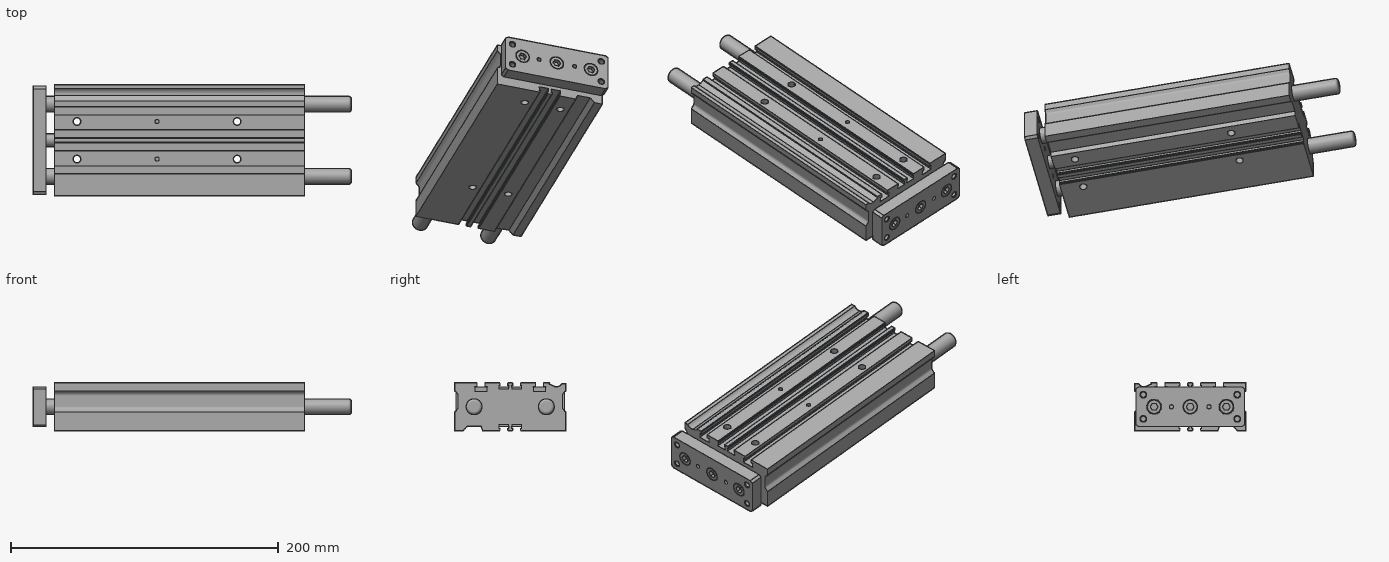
import cadquery as cq
import math


total_length = 238.0
plate_thickness = 9.8
housing_start = 16.0
housing_length = 187.0
rod_spacing = 54.0
rod_ys = (-rod_spacing / 2, rod_spacing / 2)

housing_width = 83.0
housing_height = 36.0
half_width = housing_width / 2
half_height = housing_height / 2
far_corner_drop = 0.7

outer_mouth_inner, outer_mouth_outer = 19.0, 24.8
outer_undercut = 1.7
outer_lip = 2.9
outer_slot_depth = 6.5
middle_mouth_inner, middle_mouth_outer = 2.0, 7.5
middle_undercut = 0.7
middle_lip = 2.0
middle_slot_depth = 4.8
lip_bevel_size = 0.5

side_groove_depth = 2.5
side_groove_top = 12.0
side_groove_bottom = -3.8
side_groove_fillet = 2.9

top_groove_outer = 38.5
top_groove_floor_outer = 35.0
top_groove_floor_inner = 33.5
top_groove_inner = 29.3
top_groove_depth = 2.9
top_groove_step = 1.0
top_groove_arc_bulge = 0.5

bottom_groove_outer = 35.2
bottom_groove_floor_outer = 32.0
bottom_groove_floor_inner = 22.0
bottom_groove_inner = 20.7
bottom_groove_depth = 3.5

mount_hole_diameter = 5.5
mount_hole_xs = (32.8, 152.5)
mount_hole_y = 14.0
pin_hole_diameter = 3.0
pin_hole_depth = 6.0

plate_width = 81.2
plate_height = 29.8
plate_chamfer_y = 2.1
plate_chamfer_z = 1.5
corner_hole_pitch_y = 70.2
corner_hole_pitch_z = 18.0
corner_hole_diameter = 4.0
corner_countersink_diameter = 5.0

guide_diameter = 12.0
guide_tip_fillet = 2.1
piston_rod_diameter = 10.0
piston_rod_end = 178.5
head_diameter = 10.0
head_clearance_diameter = 10.7
bolt_head_height = 6.0
bolt_shank_diameter = 6.0
bolt_length = 23.8
socket_flats = 5.0
socket_depth = 3.0


def x_cylinder(diameter, start, end, y=0.0):
    """Round bar parallel to X, from start to end."""
    return cq.Workplane("YZ", origin=(start, y, 0)).circle(diameter / 2).extrude(end - start)


def hex_socket(y=0.0):
    """Hexagonal recess tool opening at the plate face, flats facing up and down."""
    across_corners = socket_flats / math.cos(math.pi / 6)
    return cq.Workplane("YZ", origin=(0, y, 0)).polygon(6, across_corners).extrude(socket_depth)


def along_housing(section):
    """Extrude a closed section over the housing length."""
    return section.extrude(housing_length)


def section_plane():
    """Workplane for housing sections: local axes are Y and Z."""
    return cq.Workplane("YZ", origin=(housing_start, 0, 0))


def bar_section(y_low, y_high, z_low, z_high):
    """Rectangular bar running the length of the housing."""
    centre = section_plane().moveTo((y_low + y_high) / 2, (z_low + z_high) / 2)
    return along_housing(centre.rect(y_high - y_low, z_high - z_low))


def t_slot(mouth_low, mouth_high, undercut, lip, depth):
    """T-slot cut from the top face: a mouth with an undercut below its lips."""
    mouth = bar_section(mouth_low, mouth_high, half_height - depth, half_height)
    chamber = bar_section(
        mouth_low - undercut, mouth_high + undercut,
        half_height - depth, half_height - lip,
    )
    return mouth.union(chamber)


def lip_bevel(mouth_edge, outward):
    """45-degree bevel on a lip's top edge; outward is +1 or -1, the side the lip lies on."""
    section = section_plane().polyline([
        (mouth_edge, half_height),
        (mouth_edge + outward * lip_bevel_size, half_height),
        (mouth_edge, half_height - lip_bevel_size),
    ]).close()
    return along_housing(section)


def middle_slots():
    """The pair of T-slots on either side of the central rib."""
    slot = t_slot(middle_mouth_inner, middle_mouth_outer, middle_undercut, middle_lip, middle_slot_depth)
    slot = slot.union(lip_bevel(middle_mouth_inner, -1)).union(lip_bevel(middle_mouth_outer, 1))
    return slot.union(slot.mirror("XZ"))


def outer_slots():
    """The pair of wider T-slots, one on each half of the top face."""
    slot = t_slot(outer_mouth_inner, outer_mouth_outer, outer_undercut, outer_lip, outer_slot_depth)
    slot = slot.union(lip_bevel(outer_mouth_outer, 1))
    return slot.union(slot.mirror("XZ"))


def side_groove():
    """Groove in the +Y side: 45-degree flanks rounded into a flat floor."""
    floor_y = half_width - side_groove_depth
    section = section_plane().polyline([
        (half_width, side_groove_top),
        (floor_y, side_groove_top - side_groove_depth),
        (floor_y, side_groove_bottom + side_groove_depth),
        (half_width, side_groove_bottom),
    ]).close()
    return along_housing(section).faces("<Y").edges("|X").fillet(side_groove_fillet)


def top_edge_groove():
    """Lowered strip and curved groove along the +Y edge of the top face."""
    strip_z = half_height - far_corner_drop
    floor_z = half_height - top_groove_depth
    section = (
        section_plane()
        .moveTo(half_width, half_height)
        .lineTo(half_width, strip_z)
        .lineTo(top_groove_outer, strip_z)
        .sagittaArc((top_groove_floor_outer, floor_z), top_groove_arc_bulge)
        .lineTo(top_groove_floor_inner, floor_z)
        .lineTo(top_groove_inner, half_height - top_groove_step)
        .lineTo(top_groove_inner, half_height)
        .close()
    )
    return along_housing(section)


def bottom_edge_groove():
    """Tapered groove near the -Y edge of the underside."""
    roof_z = -half_height + bottom_groove_depth
    section = section_plane().polyline([
        (-bottom_groove_outer, -half_height),
        (-bottom_groove_floor_outer, roof_z),
        (-bottom_groove_floor_inner, roof_z),
        (-bottom_groove_inner, -half_height),
    ]).close()
    return along_housing(section)


def make_housing():
    """Extruded housing with its slots, grooves, rod bores and top holes."""
    body = bar_section(-half_width, half_width, -half_height, half_height)
    body = body.cut(outer_slots())
    body = body.cut(middle_slots()).cut(middle_slots().mirror("XY"))
    body = body.cut(side_groove()).cut(side_groove().mirror("XZ"))
    body = body.cut(top_edge_groove()).cut(bottom_edge_groove())

    housing_end = housing_start + housing_length
    for y in rod_ys:
        body = body.cut(x_cylinder(guide_diameter, housing_start, housing_end, y))
    body = body.cut(x_cylinder(piston_rod_diameter, housing_start, piston_rod_end))

    mount_points = [(x, y) for x in mount_hole_xs for y in (-mount_hole_y, mount_hole_y)]
    mounts = (
        cq.Workplane("XY", origin=(0, 0, -half_height))
        .pushPoints(mount_points)
        .circle(mount_hole_diameter / 2)
        .extrude(housing_height)
    )
    pin_hole_x = sum(mount_hole_xs) / 2
    pins = (
        cq.Workplane("XY", origin=(0, 0, half_height))
        .pushPoints([(pin_hole_x, -mount_hole_y), (pin_hole_x, mount_hole_y)])
        .circle(pin_hole_diameter / 2)
        .extrude(-pin_hole_depth)
    )
    return body.cut(mounts).cut(pins)


def make_plate():
    """Tooling plate with bevelled corners, fixing holes and rod holes."""
    y_edge = plate_width / 2
    z_edge = plate_height / 2
    y_flat = y_edge - plate_chamfer_y
    z_flat = z_edge - plate_chamfer_z
    outline = [
        (y_flat, z_edge), (y_edge, z_flat), (y_edge, -z_flat), (y_flat, -z_edge),
        (-y_flat, -z_edge), (-y_edge, -z_flat), (-y_edge, z_flat), (-y_flat, z_edge),
    ]
    plate = cq.Workplane("YZ").polyline(outline).close().extrude(plate_thickness)

    for y in rod_ys:
        plate = plate.cut(x_cylinder(head_clearance_diameter, 0, plate_thickness, y))
    plate = plate.cut(x_cylinder(head_clearance_diameter, 0, bolt_head_height))
    plate = plate.cut(x_cylinder(bolt_shank_diameter, 0, plate_thickness))

    face = cq.Workplane("YZ")
    corners = face.rect(corner_hole_pitch_y, corner_hole_pitch_z, forConstruction=True).vertices()
    sink_depth = (corner_countersink_diameter - corner_hole_diameter) / 2
    sinks = corners.circle(corner_countersink_diameter / 2).extrude(sink_depth, taper=45)
    corner_holes = corners.circle(corner_hole_diameter / 2).extrude(plate_thickness)
    pin_points = [(-mount_hole_y, 0), (mount_hole_y, 0)]
    pin_holes = face.pushPoints(pin_points).circle(pin_hole_diameter / 2).extrude(plate_thickness)
    return plate.cut(sinks).cut(corner_holes).cut(pin_holes)


def make_guide_rod(y):
    """Guide rod shouldered against the plate, its nose flush with the plate face."""
    rod = x_cylinder(guide_diameter, plate_thickness, total_length, y)
    rod = rod.faces(">X").fillet(guide_tip_fillet)
    nose = x_cylinder(head_diameter, 0, plate_thickness, y)
    return rod.union(nose).cut(hex_socket(y))


def make_piston_rod():
    """Piston rod butted against the plate, with a hole for the bolt shank."""
    rod = x_cylinder(piston_rod_diameter, plate_thickness, piston_rod_end)
    return rod.cut(x_cylinder(bolt_shank_diameter, plate_thickness, bolt_length))


def make_bolt():
    """Socket head bolt clamping the plate to the piston rod."""
    head = x_cylinder(head_diameter, 0, bolt_head_height)
    shank = x_cylinder(bolt_shank_diameter, bolt_head_height, bolt_length)
    return head.union(shank).cut(hex_socket())


housing = make_housing()
plate = make_plate()
guide_rods = [make_guide_rod(y) for y in rod_ys]
piston_rod = make_piston_rod()
bolt = make_bolt()

result = cq.Compound.makeCompound([
    housing.val(),
    plate.val(),
    *[rod.val() for rod in guide_rods],
    piston_rod.val(),
    bolt.val(),
])